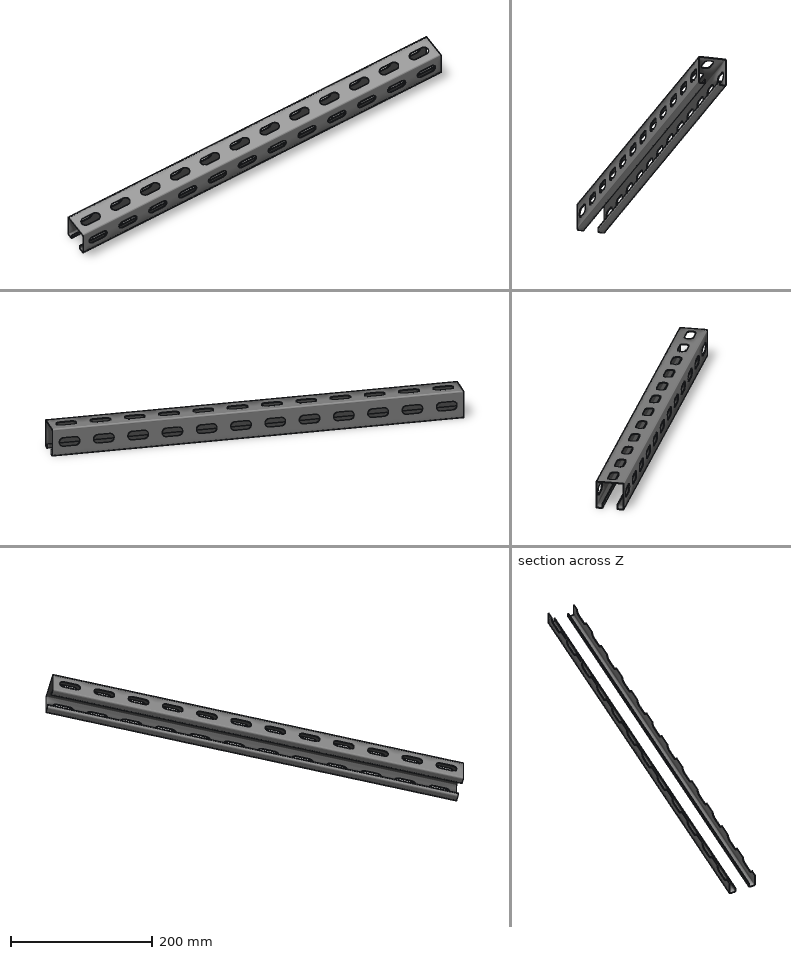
import cadquery as cq
import math

width = 41.0
height = 41.0
length = 600.0

thickness = 1.5
bend_radius = 2.5
inner_bend_radius = bend_radius - thickness
mouth_width = 20.0
lip_height = 7.0

slot_length = 30.0
slot_width = 13.0
slot_pitch = 50.0
slot_count = 12


def box_along_channel(box_width, box_height, center_z):
    """Full-length box centred on X and Y, with its middle at the given height."""
    return cq.Workplane("XY").box(box_width, length, box_height).translate((0, 0, center_z))


def lower_channel_side(side):
    """Lower half of one wall, its bottom flange and its upturned lip (side is -1 or +1 in X)."""
    lip_face = side * mouth_width / 2
    lip_back = side * (mouth_width / 2 + thickness)
    bend_start = side * (mouth_width / 2 + bend_radius)
    wall_bend = side * (width / 2 - bend_radius)
    wall_inner = side * (width / 2 - thickness)
    wall_outer = side * width / 2
    bottom = -height / 2
    floor = bottom + thickness
    bend_top = bottom + bend_radius
    lip_top = bottom + lip_height
    diagonal = math.cos(math.radians(45))

    def arc_middle(center_x, direction, radius):
        return (center_x + direction * radius * diagonal, bend_top - radius * diagonal)

    return (
        cq.Workplane("XZ", origin=(0, length / 2, 0))
        .moveTo(lip_face, lip_top)
        .lineTo(lip_face, bend_top)
        .threePointArc(arc_middle(bend_start, -side, bend_radius), (bend_start, bottom))
        .lineTo(wall_bend, bottom)
        .threePointArc(arc_middle(wall_bend, side, bend_radius), (wall_outer, bend_top))
        .lineTo(wall_outer, 0)
        .lineTo(wall_inner, 0)
        .lineTo(wall_inner, bend_top)
        .threePointArc(arc_middle(wall_bend, side, inner_bend_radius), (wall_bend, floor))
        .lineTo(bend_start, floor)
        .threePointArc(arc_middle(bend_start, -side, inner_bend_radius), (lip_back, bend_top))
        .lineTo(lip_back, lip_top)
        .close()
        .extrude(length)
    )


def upper_channel():
    """Upper half of the channel: the top web and the upper part of both walls."""
    half = height / 2
    outer = box_along_channel(width, half, half / 2)
    outer = outer.edges("|Y and >Z").fillet(bend_radius)
    cavity_height = half - thickness
    cavity = box_along_channel(width - 2 * thickness, cavity_height, cavity_height / 2)
    cavity = cavity.edges("|Y and >Z").fillet(inner_bend_radius)
    return outer.cut(cavity)


def slot_positions():
    """Slot centres along the channel, evenly spaced about its middle."""
    first = -slot_pitch * (slot_count - 1) / 2
    return [first + slot_pitch * index for index in range(slot_count)]


def top_slot_cutter():
    """Slots through the top web only."""
    centers = [(0, y) for y in slot_positions()]
    return cq.Workplane("XY").pushPoints(centers).slot2D(slot_length, slot_width, 90).extrude(height)


def side_slot_cutter():
    """Slots through both side walls at mid height."""
    centers = [(y, 0) for y in slot_positions()]
    return cq.Workplane("YZ").pushPoints(centers).slot2D(slot_length, slot_width).extrude(width, both=True)


channel = upper_channel().union(lower_channel_side(-1)).union(lower_channel_side(1)).clean()
result = channel.cut(top_slot_cutter()).cut(side_slot_cutter())